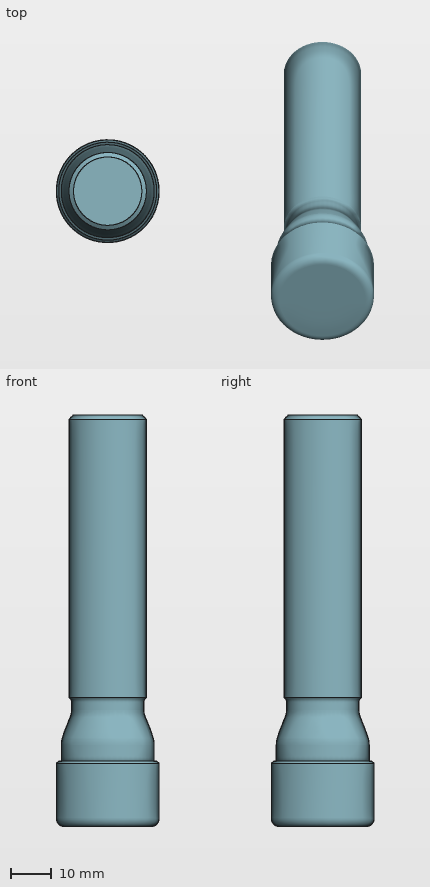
import cadquery as cq
import math

total_height = 101.6

cap_radius = 12.7
cap_height = 16.2
cap_bottom_fillet = 2.0
cap_lip_chamfer = 0.6

foot_radius = 11.5
foot_top = 20.1
flare_bottom_radius = 11.3
flare_bottom = 21.6
flare_top_radius = 9.3
flare_top = 26.8

neck_radius = 8.9
neck_bottom = 28.7
neck_top = 30.8
neck_fillet = 1.0

shaft_radius = 9.5
shaft_top_chamfer = 1.1

cap_wall = cap_radius - foot_radius


def make_cap():
    """Round cup with a rounded base, a chamfered lip and a plain socket."""
    body = cq.Workplane("XY").circle(cap_radius).extrude(cap_height)
    body = body.faces("<Z").edges().fillet(cap_bottom_fillet)
    body = body.faces(">Z").edges().chamfer(cap_lip_chamfer)
    socket = (
        cq.Workplane("XY")
        .workplane(offset=cap_wall)
        .circle(foot_radius)
        .extrude(cap_height - cap_wall)
    )
    return body.cut(socket)


def make_stud():
    """Turned stud: foot, convex flare, neck and chamfered shaft."""
    turn = math.radians(45)
    fillet_end_radius = neck_radius + neck_fillet * (1 - math.cos(turn))
    fillet_end = neck_top + neck_fillet * math.sin(turn)
    shaft_bottom = fillet_end + shaft_radius - fillet_end_radius

    profile = (
        cq.Workplane("XZ")
        .moveTo(0, total_height)
        .lineTo(shaft_radius - shaft_top_chamfer, total_height)
        .lineTo(shaft_radius, total_height - shaft_top_chamfer)
        .lineTo(shaft_radius, shaft_bottom)
        .lineTo(fillet_end_radius, fillet_end)
        .tangentArcPoint((neck_radius, neck_top), relative=False)
        .lineTo(neck_radius, neck_bottom)
        .tangentArcPoint((flare_top_radius, flare_top), relative=False)
        .tangentArcPoint((flare_bottom_radius, flare_bottom), relative=False)
        .tangentArcPoint((foot_radius, foot_top), relative=False)
        .lineTo(foot_radius, cap_wall)
        .lineTo(0, cap_wall)
        .close()
    )
    return profile.revolve(360, (0, 0, 0), (0, 1, 0))


cap = make_cap()
stud = make_stud()

result = cq.Compound.makeCompound([cap.val(), stud.val()])